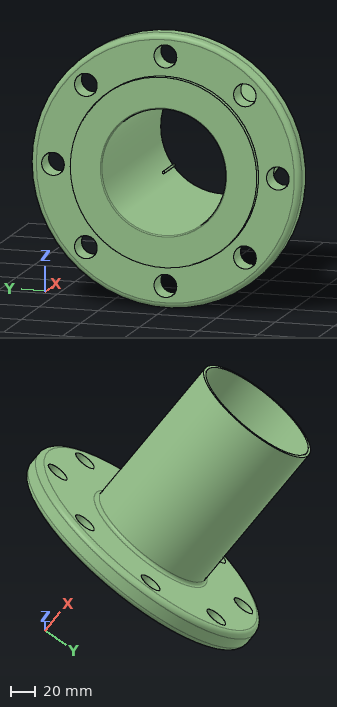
import cadquery as cq
overall_length = 166.0
pipe_diameter = 110.0
pipe_bore = 105.0

flange_diameter = 228.6
flange_thickness = 20.0
flange_edge_radius = 5.0
raised_face_diameter = 158.0
raised_face_height = 5.0
neck_fillet_radius = 3.0

mouth_radius = 1.0

bolt_count = 8
bolt_circle_diameter = 190.5
bolt_hole_diameter = 19.0

pin_diameter = 2.0
pin_length = 30.0

flange_back = raised_face_height + flange_thickness

smallest_radius = cq.selectors.RadiusNthSelector(0)
largest_radius = cq.selectors.RadiusNthSelector(-1)


def disc(diameter, start, end):
    """Cylinder on the X axis between two X positions."""
    return cq.Workplane("YZ", origin=(start, 0, 0)).circle(diameter / 2).extrude(end - start)


def make_bolt_holes():
    """Ring of cylinders that cut the bolt holes through the flange."""
    return (
        cq.Workplane("YZ")
        .polarArray(bolt_circle_diameter / 2, 0, 360, bolt_count)
        .circle(bolt_hole_diameter / 2)
        .extrude(flange_back)
    )


def make_flanged_pipe():
    """Pipe with a bolted flange at its X = 0 end."""
    plate = disc(flange_diameter, raised_face_height, flange_back)
    pipe = disc(pipe_diameter, flange_back, overall_length)
    body = plate.union(pipe)

    body = body.edges(smallest_radius).edges("<X").fillet(neck_fillet_radius)
    body = body.edges(largest_radius).fillet(flange_edge_radius)

    body = body.union(disc(raised_face_diameter, 0, raised_face_height))
    body = body.cut(disc(pipe_bore, 0, overall_length))
    body = body.faces("<X").edges(smallest_radius).fillet(mouth_radius)

    return body.cut(make_bolt_holes())


flanged_pipe = make_flanged_pipe()
pin = disc(pin_diameter, 0, pin_length)

result = cq.Compound.makeCompound([flanged_pipe.val(), pin.val()])